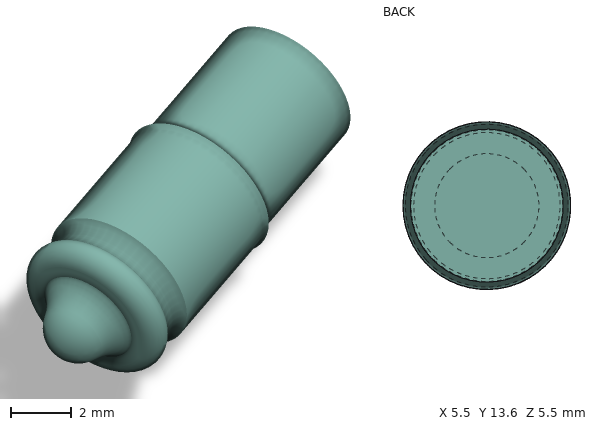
import cadquery as cq
import math

TOTAL_LENGTH = 13.56

BULB_RADIUS = 2.51

SHELL_RADIUS = 2.67
SHELL_BACK_Y = 8.33
FLARE_RADIUS = 2.75
FLARE_LENGTH = 0.33
SLEEVE_FRONT_Y = 3.58
NECK_RADIUS = 2.4
NECK_Y = 3.09
ROLL_ARC_RADIUS = 0.54
ROLL_END_Y = 2.68
SHELL_FRONT_Y = 1.74

TIP_BASE_RADIUS = 1.71
DOME_RADIUS = 1.13
DOME_HEIGHT = 0.84


def revolve_about_y(profile):
    """Revolve a closed radius-height profile fully about the Y axis."""
    return profile.close().revolve(360, (0, 0, 0), (0, 1, 0))


def waist_arc_middle(waist_radius, waist_y, end_radius, end_y):
    """Middle of an arc that is parallel to the axis at its waist and widens to its end."""
    widening = end_radius - waist_radius
    run = end_y - waist_y
    arc_radius = (widening**2 + run**2) / (2 * widening)
    half_angle = math.asin(run / arc_radius) / 2
    middle_radius = waist_radius + arc_radius * (1 - math.cos(half_angle))
    middle_y = waist_y + arc_radius * math.sin(half_angle)
    return middle_radius, middle_y


def make_bulb():
    """Plain cylinder standing on the back face of the shell."""
    profile = (
        cq.Workplane("XY")
        .moveTo(0, SHELL_BACK_Y)
        .lineTo(BULB_RADIUS, SHELL_BACK_Y)
        .lineTo(BULB_RADIUS, TOTAL_LENGTH)
        .lineTo(0, TOTAL_LENGTH)
    )
    return revolve_about_y(profile)


def make_shell():
    """Sleeve with a flared back edge, a waisted neck and a rounded front bead."""
    roll_center_radius = SHELL_RADIUS - ROLL_ARC_RADIUS
    roll_center_y = SHELL_FRONT_Y + ROLL_ARC_RADIUS
    roll_end_rise = ROLL_END_Y - roll_center_y
    roll_end_radius = roll_center_radius + math.sqrt(ROLL_ARC_RADIUS**2 - roll_end_rise**2)
    flare_start_y = SHELL_BACK_Y - FLARE_LENGTH
    profile = (
        cq.Workplane("XY")
        .moveTo(0, SHELL_FRONT_Y)
        .lineTo(roll_center_radius, SHELL_FRONT_Y)
        .threePointArc((SHELL_RADIUS, roll_center_y), (roll_end_radius, ROLL_END_Y))
        .threePointArc(
            waist_arc_middle(NECK_RADIUS, NECK_Y, roll_end_radius, ROLL_END_Y),
            (NECK_RADIUS, NECK_Y),
        )
        .threePointArc(
            waist_arc_middle(NECK_RADIUS, NECK_Y, SHELL_RADIUS, SLEEVE_FRONT_Y),
            (SHELL_RADIUS, SLEEVE_FRONT_Y),
        )
        .lineTo(SHELL_RADIUS, flare_start_y)
        .threePointArc(
            waist_arc_middle(SHELL_RADIUS, flare_start_y, FLARE_RADIUS, SHELL_BACK_Y),
            (FLARE_RADIUS, SHELL_BACK_Y),
        )
        .lineTo(0, SHELL_BACK_Y)
    )
    return revolve_about_y(profile)


def make_contact_tip():
    """Spherical dome blending tangentially into a concave, widening foot."""
    dome_arc_radius = (DOME_RADIUS**2 + DOME_HEIGHT**2) / (2 * DOME_HEIGHT)
    half_angle = math.asin(DOME_RADIUS / dome_arc_radius) / 2
    dome_middle = (
        dome_arc_radius * math.sin(half_angle),
        dome_arc_radius * (1 - math.cos(half_angle)),
    )
    profile = (
        cq.Workplane("XY")
        .moveTo(0, 0)
        .threePointArc(dome_middle, (DOME_RADIUS, DOME_HEIGHT))
        .tangentArcPoint((TIP_BASE_RADIUS, SHELL_FRONT_Y), relative=False)
        .lineTo(0, SHELL_FRONT_Y)
    )
    return revolve_about_y(profile)


bulb = make_bulb()
shell = make_shell()
contact_tip = make_contact_tip()

result = cq.Compound.makeCompound([bulb.val(), shell.val(), contact_tip.val()])